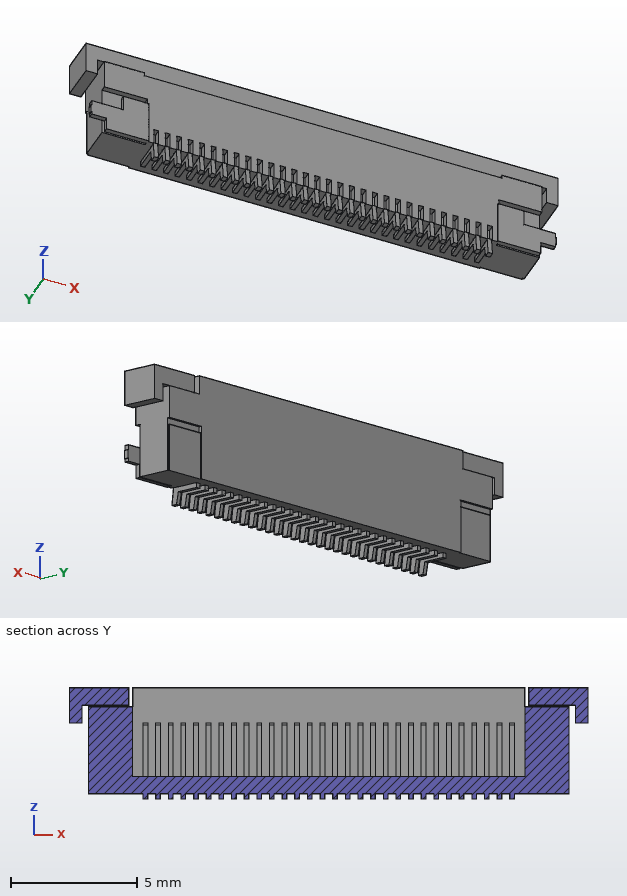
import cadquery as cq


depth = 1.87
height = 4.9

body_half_length = 9.5
body_front = 0.05
body_bottom = 0.7
body_end_top = 4.15
body_mid_top = 4.0
front_step_half_length = 7.77

slot_half_length = 7.75
slot_front = 0.88
slot_back = 1.25
slot_floor = 1.4

lever_half_length = 10.25
lever_front = 0.15
lever_back = 1.75
lever_underside = 4.2
lever_opening_half_length = 7.9
lever_arm_bottom = 3.5
lever_arm_width = 0.5

recess_top = 2.85
recess_inner = 7.63
recess_floor = 0.28
tab_thickness = 0.2
tab_inner = 7.58
tab_top = 2.6
tab_step = 8.7
tab_edge = 9.43
tab_tip = 10.1
tab_shoulder = 10.07
tab_stub_top = 1.72
tab_stub_bottom = 1.37
tab_arm_top = 1.92
tab_arm_bottom = 1.24
rear_recess_depth = 0.12
rear_plate_thickness = 0.06

contact_count = 30
contact_pitch = 0.5
contact_width = 0.19
contact_back = 1.35
contact_bottom = 0.5
contact_shoulder = 0.8
leg_front = 0.03
leg_shoulder_front = 0.13
leg_thickness = 0.25
pocket_width = 0.21
pocket_top = 1.4
pocket_floor = 0.35
spring_front = 1.1
spring_tip_bevel = 0.08
spring_top = 3.5


def block(x0, x1, y0, y1, z0, z1):
    """Axis-aligned box between two opposite corners."""
    return cq.Workplane("XY").box(x1 - x0, y1 - y0, z1 - z0, centered=False).translate((x0, y0, z0))


def centered_block(half_length, y0, y1, z0, z1):
    """Box symmetric about X = 0."""
    return block(-half_length, half_length, y0, y1, z0, z1)


def both_ends(shape):
    """The shape at the +X end together with its mirror image at the -X end."""
    return shape.union(shape.mirror("YZ"))


def make_housing():
    body = centered_block(body_half_length, body_front, depth, body_bottom, body_end_top)
    front_step = centered_block(front_step_half_length, body_front, slot_front, body_mid_top, body_end_top)
    rear_wall = centered_block(slot_half_length, slot_back, depth, body_end_top, height)
    slot = centered_block(slot_half_length, slot_front, slot_back, slot_floor, body_end_top)
    return body.cut(front_step).union(rear_wall).cut(slot)


def make_lever():
    bar = centered_block(lever_half_length, lever_front, lever_back, lever_underside, height)
    opening = centered_block(lever_opening_half_length, slot_front, lever_back, lever_underside, height)
    web = centered_block(lever_opening_half_length, lever_front, slot_front, body_mid_top, lever_underside)
    arm = block(
        lever_half_length - lever_arm_width, lever_half_length,
        lever_front, lever_back, lever_arm_bottom, lever_underside,
    )
    return bar.cut(opening).union(web).union(both_ends(arm))


def make_tab_recesses():
    front = block(recess_inner, body_half_length, body_front, recess_floor, body_bottom, recess_top)
    rear = block(recess_inner, body_half_length, depth - rear_recess_depth, depth, body_bottom, recess_top)
    return both_ends(front.union(rear))


def make_tabs():
    """Solder tabs with a shallow stub on each tip, and thin plates in the rear recesses."""
    outline = [
        (tab_inner, body_bottom),
        (tab_edge, body_bottom),
        (tab_edge, tab_arm_bottom),
        (tab_shoulder, tab_arm_bottom),
        (tab_shoulder, tab_stub_bottom),
        (tab_tip, tab_stub_bottom),
        (tab_tip, tab_stub_top),
        (tab_shoulder, tab_stub_top),
        (tab_shoulder, tab_arm_top),
        (tab_step, tab_arm_top),
        (tab_step, tab_top),
        (tab_inner, tab_top),
    ]
    front = cq.Workplane("XZ").polyline(outline).close().extrude(-tab_thickness)
    rear_floor = depth - rear_recess_depth
    rear = block(
        recess_inner, tab_edge, rear_floor, rear_floor + rear_plate_thickness, body_bottom, tab_top
    )
    return both_ends(front.union(rear))


def make_contact(x):
    """Contact centred at x: base strip, bent solder leg and spring arm in the slot."""
    outline = [
        (contact_back, contact_bottom),
        (leg_shoulder_front + leg_thickness, contact_bottom),
        (leg_front + leg_thickness, 0),
        (leg_front, 0),
        (leg_shoulder_front, contact_shoulder),
        (contact_back, contact_shoulder),
    ]
    start = x - contact_width / 2
    base = cq.Workplane("YZ").polyline(outline).close().extrude(contact_width).translate((start, 0, 0))
    spring = block(start, start + contact_width, spring_front, slot_back, contact_shoulder, spring_top)
    spring = spring.edges(">Z and <Y").chamfer(spring_tip_bevel)
    return base.union(spring)


def make_pocket(x):
    """Relief in the front face above one solder leg."""
    return block(
        x - pocket_width / 2, x + pocket_width / 2, body_front, pocket_floor, body_bottom, pocket_top
    )


contact_positions = [(i - (contact_count - 1) / 2) * contact_pitch for i in range(contact_count)]

pockets = [make_pocket(x).val() for x in contact_positions]
contacts = [make_contact(x).val() for x in contact_positions]

shell = make_housing().union(make_lever()).cut(make_tab_recesses()).union(make_tabs())
result = cq.Workplane(shell.val().cut(*pockets).fuse(*contacts))